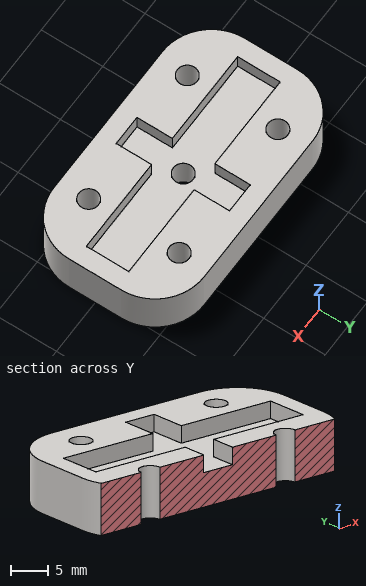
import cadquery as cq

length = 41.65
width = 24.5
height = 7.5
corner_radius = 8.0

long_arm_length = 35.78
long_arm_width = 6.9
short_arm_length = 18.45
short_arm_width = 4.9
pocket_depth = 2.5

hole_diameter = 3.2
hole_spacing_x = 23.32
hole_spacing_y = 14.75


def pocket_arm(size_x, size_y):
    """One centred arm of the cross, cut down from the top face."""
    floor = cq.Workplane("XY").workplane(offset=height - pocket_depth)
    return floor.rect(size_x, size_y).extrude(pocket_depth)


plate = cq.Workplane("XY").rect(length, width).extrude(height)
plate = plate.edges("|Z").fillet(corner_radius)

cross = pocket_arm(long_arm_length, long_arm_width).union(
    pocket_arm(short_arm_width, short_arm_length)
)

holes = (
    cq.Workplane("XY")
    .rect(hole_spacing_x, hole_spacing_y, forConstruction=True)
    .vertices()
    .circle(hole_diameter / 2)
    .extrude(height)
)
centre_hole = cq.Workplane("XY").circle(hole_diameter / 2).extrude(height)

result = plate.cut(cross).cut(holes).cut(centre_hole)